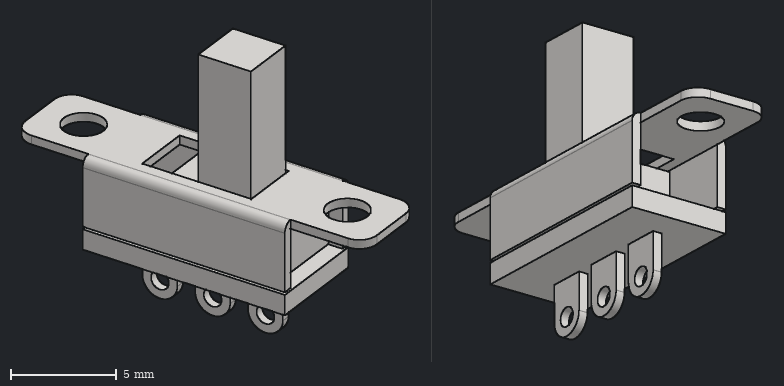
import cadquery as cq


plate_length = 20.0
overall_width = 5.5
body_length = 11.5
sheet = 0.5
plate_width = overall_width - 2 * sheet
plate_corner_radius = 1.0
mount_hole_diameter = 2.25
mount_hole_spacing = 15.0
window_length = 6.2
window_width = 3.25
wall_bottom = -3.75

knob_side = 3.0
knob_top = 6.88
knob_center_x = knob_side / 2
block_length = 7.08
side_clearance = 0.1
block_width = plate_width - 2 * side_clearance
block_top = -0.65
block_height = 2.95

base_top = -3.88
base_bottom = -5.0
terminal_bottom = -8.0
terminal_width = 2.0
terminal_thickness = 0.5
terminal_hole_diameter = 1.0
terminal_pitch = 3.0


def box(length, width, bottom, top, center_x=0.0):
    """Upright block centred on Y = 0 between two heights."""
    block = cq.Workplane("XY").box(length, width, top - bottom, centered=(True, True, False))
    return block.translate((center_x, 0, bottom))


def make_frame():
    """Mounting plate with rounded ends, side walls, slider window and mounting holes."""
    channel = (
        box(body_length, overall_width, wall_bottom, 0)
        .edges("|X and >Z")
        .fillet(sheet)
        .cut(box(body_length, plate_width, wall_bottom, -sheet))
    )
    plate = box(plate_length, plate_width, -sheet, 0).edges("|Z").fillet(plate_corner_radius)
    window = box(window_length, window_width, -sheet, 0)
    mount_holes = (
        cq.Workplane("XY")
        .pushPoints([(-mount_hole_spacing / 2, 0), (mount_hole_spacing / 2, 0)])
        .circle(mount_hole_diameter / 2)
        .extrude(-sheet)
    )
    return channel.union(plate).cut(window).cut(mount_holes)


def make_slider():
    """Sliding block, centred under the knob that stands on it."""
    block = box(block_length, block_width, block_top - block_height, block_top, knob_center_x)
    knob = box(knob_side, knob_side, block_top, knob_top, knob_center_x)
    return block.union(knob)


def make_terminal(center_x):
    """Flat tab with a round lower end and a concentric hole."""
    end_radius = terminal_width / 2
    hole_z = terminal_bottom + end_radius
    tab = (
        cq.Workplane("XZ")
        .moveTo(-end_radius, base_bottom)
        .lineTo(-end_radius, hole_z)
        .threePointArc((0, terminal_bottom), (end_radius, hole_z))
        .lineTo(end_radius, base_bottom)
        .close()
        .moveTo(0, hole_z)
        .circle(terminal_hole_diameter / 2)
        .extrude(terminal_thickness / 2, both=True)
    )
    return tab.translate((center_x, 0, 0))


def make_base():
    """Base plate with its row of terminals."""
    base = box(body_length, overall_width, base_bottom, base_top)
    for position in (-1, 0, 1):
        base = base.union(make_terminal(position * terminal_pitch))
    return base


frame = make_frame()
slider = make_slider()
terminal_base = make_base()

result = cq.Compound.makeCompound([frame.val(), slider.val(), terminal_base.val()])